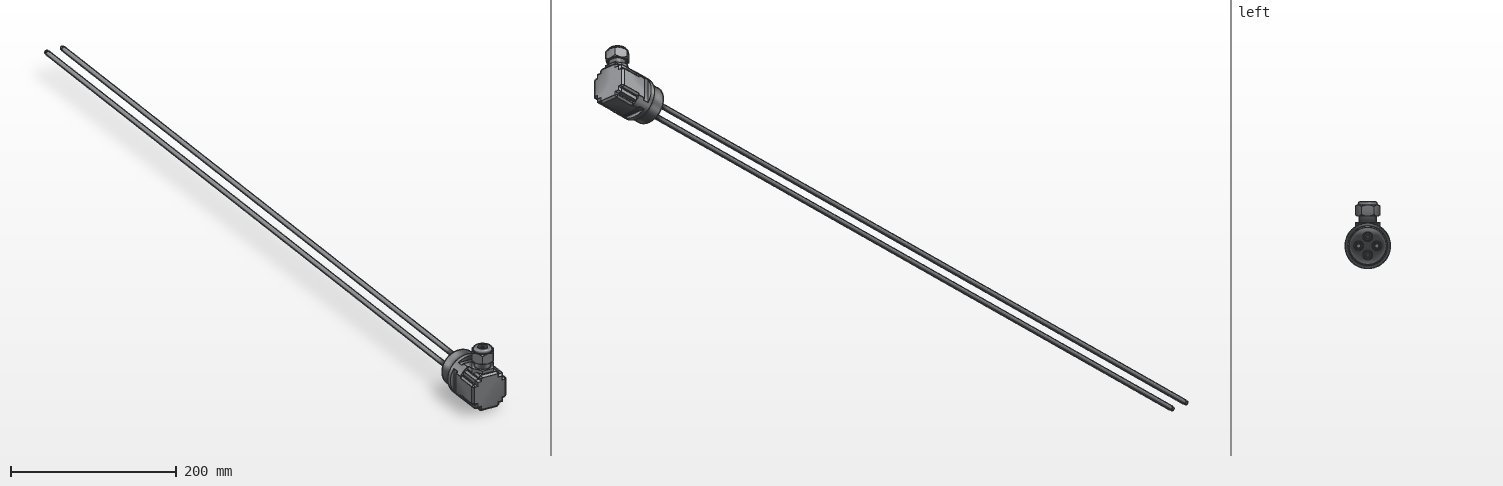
import cadquery as cq
import math

total_length = 1044
body_length = 75.7
flange_dia = 55
total_height = 81.01

plug_dia = 47.8
plug_length = 22
plug_chamfer = 1.5
flange_width = 6
flange_end = plug_length + flange_width

socket_dia = 12
socket_depth = 3
socket_radius = 11
socket_count = 4
bushing_dia = 9
bushing_bore_dia = 5
rod_dia = 6
rod_tip_dia = 5
rod_tip_length = 3.5

collar_step = 36
collar_end = 46
neck_flat = 22.4
flat = plug_dia / 2

core_half_width = 19.3
pad_half_width = 14
block_chamfer = 2.5

gland_x = body_length - 17.2
gland_top = total_height - flange_dia / 2
hex_flats = 26
hex_corner_dia = hex_flats / math.cos(math.pi / 6)
base_top = 28
gland_neck_dia = 20.6
nut_bottom = 36
nut_top = 49.5
nut_chamfer = 2
cap_dia = 23
cap_fillet = 3
cable_bore_dia = 12
cable_bore_depth = 15


def cylinder_x(start, end, diameter, y=0, z=0):
    disc = cq.Workplane("YZ", origin=(start, y, z)).circle(diameter / 2)
    return disc.extrude(end - start)


def cylinder_z(bottom, top, diameter):
    disc = cq.Workplane("XY", origin=(gland_x, 0, bottom)).circle(diameter / 2)
    return disc.extrude(top - bottom)


def bar_x(start, end, y_width, z_width):
    section = cq.Workplane("YZ", origin=(start, 0, 0)).rect(y_width, z_width)
    return section.extrude(end - start)


def hexagon_z(bottom, top):
    """Hexagonal prism on the gland axis with two corners pointing along Y."""
    section = cq.Workplane("XY", origin=(gland_x, 0, bottom)).transformed(rotate=(0, 0, 90))
    return section.polygon(6, hex_corner_dia).extrude(top - bottom)


def make_plug():
    plug = cylinder_x(0, plug_length, plug_dia).faces("<X or >X").chamfer(plug_chamfer)
    return plug.union(cylinder_x(plug_length, flange_end, flange_dia))


def make_collar():
    neck = cylinder_x(flange_end, collar_step, flange_dia)
    neck = neck.intersect(bar_x(flange_end, collar_step, 2 * neck_flat, 2 * neck_flat))
    collar = cylinder_x(collar_step, collar_end, flange_dia)
    collar = collar.intersect(bar_x(collar_step, collar_end, 2 * flat, 2 * flat))
    return neck.union(collar)


def make_pad(y_width, z_width):
    """Bar right across the block with chamfered long edges and free end."""
    pad = bar_x(collar_end, body_length, y_width, z_width)
    return pad.edges("|X").chamfer(block_chamfer).faces(">X").chamfer(block_chamfer)


def make_block():
    core = bar_x(collar_end, body_length, 2 * core_half_width, 2 * core_half_width)
    core = core.faces(">X").chamfer(block_chamfer)
    side_pads = make_pad(2 * flat, 2 * pad_half_width)
    upright_pads = make_pad(2 * pad_half_width, 2 * flat)
    return core.union(side_pads).union(upright_pads)


def make_gland():
    gland = hexagon_z(core_half_width, base_top)
    gland = gland.union(cylinder_z(base_top, nut_bottom, gland_neck_dia))
    corner_rounding = cylinder_z(nut_bottom, nut_top, hex_corner_dia).faces("<Z or >Z").chamfer(nut_chamfer)
    gland = gland.union(hexagon_z(nut_bottom, nut_top).intersect(corner_rounding))
    cap = cylinder_z(nut_top, gland_top, cap_dia).faces(">Z").edges().fillet(cap_fillet)
    gland = gland.union(cap)
    return gland.cut(cylinder_z(gland_top - cable_bore_depth, gland_top, cable_bore_dia))


def cut_sockets(body):
    """Bore the ring of sockets, leaving a bored bushing flush with the face in each."""
    for index in range(socket_count):
        angle = 2 * math.pi * index / socket_count
        y = socket_radius * math.cos(angle)
        z = socket_radius * math.sin(angle)
        socket = cylinder_x(0, socket_depth, socket_dia, y, z)
        bushing = cylinder_x(0, socket_depth, bushing_dia, y, z)
        bore = cylinder_x(0, socket_depth, bushing_bore_dia, y, z)
        body = body.cut(socket).union(bushing).cut(bore)
    return body


def make_rod(y):
    """Electrode rod with a slightly thinner tip, seated on the socket floor."""
    rod_start = body_length - total_length
    tip_end = rod_start + rod_tip_length
    tip = cylinder_x(rod_start, tip_end, rod_tip_dia, y)
    return tip.union(cylinder_x(tip_end, socket_depth, rod_dia, y))


body = make_plug().union(make_collar()).union(make_block()).union(make_gland())
result = cut_sockets(body)
for side in (-1, 1):
    result = result.union(make_rod(side * socket_radius))